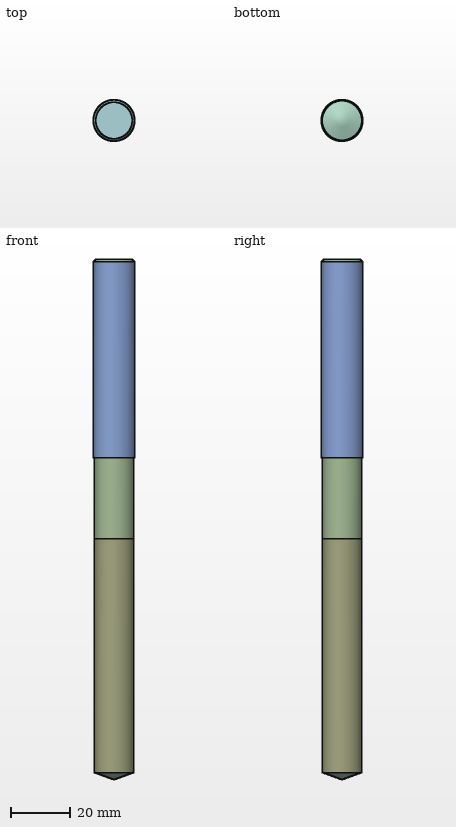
import cadquery as cq
import math

total_length = 176.0
shank_diameter = 14.0
shank_length = 67.0
end_chamfer = 0.9

neck_diameter = 13.4
neck_length = 27.5

cutter_diameter = 13.4
point_angle = 140.0

shank_radius = shank_diameter / 2
neck_radius = neck_diameter / 2
cutter_radius = cutter_diameter / 2
point_height = cutter_radius / math.tan(math.radians(point_angle / 2))
shank_bottom = total_length - shank_length
cutter_top = shank_bottom - neck_length


def make_shank():
    """Cylindrical shank with a chamfered end and a slimmer neck below it."""
    neck = cq.Workplane("XY").workplane(offset=cutter_top).circle(neck_radius).extrude(neck_length)
    grip = (
        cq.Workplane("XY")
        .workplane(offset=shank_bottom)
        .circle(shank_radius)
        .extrude(shank_length)
        .faces(">Z")
        .chamfer(end_chamfer)
    )
    return grip.union(neck)


def make_cutter():
    """Plain cutting length ending in a conical point, revolved about Z."""
    return (
        cq.Workplane("XZ")
        .moveTo(0, 0)
        .lineTo(cutter_radius, point_height)
        .lineTo(cutter_radius, cutter_top)
        .lineTo(0, cutter_top)
        .close()
        .revolve(360, (0, 0, 0), (0, 1, 0))
    )


shank = make_shank()
cutter = make_cutter()

result = cq.Compound.makeCompound([shank.val(), cutter.val()])